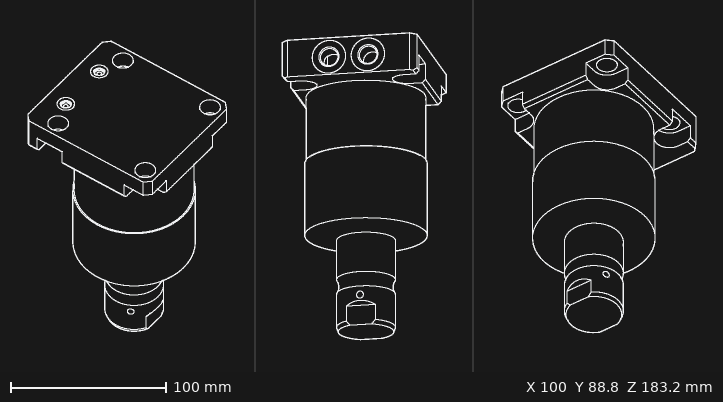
import cadquery as cq
import math

TOTAL_HEIGHT = 183.2
SEAL_PROTRUSION = 0.7
PLATE_THICKNESS = 24.7
PLATE_TOP = TOTAL_HEIGHT - SEAL_PROTRUSION
PLATE_BOTTOM = PLATE_TOP - PLATE_THICKNESS
SLEEVE_TOP = 113.4
CONE_TOP = 64.8
CONE_BOTTOM = 61.4

PLATE_LENGTH = 100.0
PLATE_WIDTH = 88.8
PLATE_LEFT = -55.5
PLATE_RIGHT = PLATE_LEFT + PLATE_LENGTH
CORNER_CHAMFER = 4.2
LOWER_EDGE_CHAMFER = 2.2

BOLT_PITCH = 70.0
BOLT_HOLE_DIAMETER = 13.4
RELIEF_DIAMETER = 20.0
RELIEF_HEIGHT = 12.5

PORT_PITCH = 25.6
PORT_BELOW_TOP = 12.8
PORT_DIAMETER = 11.5
PORT_MOUTH_DIAMETER = 13.2
PORT_DEPTH = 14.1
SPOTFACE_DIAMETER = 22.0
SPOTFACE_DEPTH = 0.2

OIL_HOLE_X = -41.4
OIL_HOLE_PITCH = 36.0
OIL_HOLE_DIAMETER = 3.0
OIL_HOLE_BELOW_PORT_AXIS = 1.3
SEAL_SEAT_DIAMETER = 11.4
SEAL_SEAT_DEPTH = 1.1
WELL_DIAMETER = 6.2
WELL_DEPTH = 2.2
SEAL_SECTION_RADIUS = 1.0
SEAL_MEAN_RADIUS = 4.5

HOUSING_RADIUS = 38.7
SLEEVE_RADIUS = 39.5
CONE_TIP_RADIUS = 26.2
ROD_RADIUS = 19.0
GROOVE_TOP = 35.0
GROOVE_BOTTOM = 25.3
GROOVE_DEPTH = 1.5
TIP_CHAMFER_HEIGHT = 3.0
TIP_CHAMFER_WIDTH = 1.1

FLAT_DISTANCE = 16.5
FLAT_HEIGHT = 13.0
DIMPLE_DIAMETER = 4.8
DIMPLE_DEPTH = 2.2
DIMPLE_HEIGHT = 19.5
DIMPLE_ANGLES = (60, 180, 300)

SIDES = (-1, 1)


def cylinder(radius, height, base, direction=(0, 0, 1)):
    """Cylinder starting at the point base and running along direction."""
    return cq.Workplane(cq.Solid.makeCylinder(radius, height, cq.Vector(*base), cq.Vector(*direction)))


def box(x_range, y_range, z_range):
    """Box between the given limits, each range given in either order."""
    x0, x1 = sorted(x_range)
    y0, y1 = sorted(y_range)
    z0, z1 = sorted(z_range)
    return cq.Workplane().box(x1 - x0, y1 - y0, z1 - z0, centered=False).translate((x0, y0, z0))


def make_plate():
    blank = box((PLATE_LEFT, PLATE_RIGHT), (-PLATE_WIDTH / 2, PLATE_WIDTH / 2), (PLATE_BOTTOM, PLATE_TOP))
    clipped_corners = blank.edges("|Z").chamfer(CORNER_CHAMFER)
    broken_edges = blank.faces("<Z").edges("|X or >X").chamfer(LOWER_EDGE_CHAMFER)
    return clipped_corners.intersect(broken_edges)


def make_bolt_cuts():
    """Through holes and round-ended reliefs; the right-hand reliefs also open to the end face."""
    cuts = cq.Workplane()
    relief_radius = RELIEF_DIAMETER / 2
    relief_top = PLATE_BOTTOM + RELIEF_HEIGHT
    relief_z = (PLATE_BOTTOM, relief_top)
    for x_side in SIDES:
        for y_side in SIDES:
            x = x_side * BOLT_PITCH / 2
            y = y_side * BOLT_PITCH / 2
            edge_y = y_side * PLATE_WIDTH / 2
            cuts = cuts.add(cylinder(BOLT_HOLE_DIAMETER / 2, PLATE_THICKNESS, (x, y, PLATE_BOTTOM)))
            cuts = cuts.add(cylinder(relief_radius, RELIEF_HEIGHT, (x, y, PLATE_BOTTOM)))
            cuts = cuts.add(box((x - relief_radius, x + relief_radius), (y, edge_y), relief_z))
            if x_side > 0:
                cuts = cuts.add(box((x, PLATE_RIGHT), (y - y_side * relief_radius, edge_y), relief_z))
    return cuts.combine()


def make_port(y):
    """Blind port bored from the left face, with a chamfered mouth and a shallow spotface."""
    mouth_chamfer = (PORT_MOUTH_DIAMETER - PORT_DIAMETER) / 2
    mouth_x = PLATE_LEFT + SPOTFACE_DEPTH
    profile = [
        (PLATE_LEFT, 0),
        (PLATE_LEFT, SPOTFACE_DIAMETER / 2),
        (mouth_x, SPOTFACE_DIAMETER / 2),
        (mouth_x, PORT_MOUTH_DIAMETER / 2),
        (mouth_x + mouth_chamfer, PORT_DIAMETER / 2),
        (PLATE_LEFT + PORT_DEPTH, PORT_DIAMETER / 2),
        (PLATE_LEFT + PORT_DEPTH, 0),
    ]
    port = cq.Workplane("XY").polyline(profile).close().revolve(360, (0, 0), (1, 0))
    return port.translate((0, y, PLATE_TOP - PORT_BELOW_TOP))


def make_oil_hole(y):
    """Stepped bore down into the port: seal seat, well and oil hole."""
    steps = [
        (SEAL_SEAT_DIAMETER, SEAL_SEAT_DEPTH),
        (WELL_DIAMETER, WELL_DEPTH),
        (OIL_HOLE_DIAMETER, PORT_BELOW_TOP + OIL_HOLE_BELOW_PORT_AXIS),
    ]
    bore = cq.Workplane()
    for diameter, depth in steps:
        bore = bore.add(cylinder(diameter / 2, depth, (OIL_HOLE_X, y, PLATE_TOP - depth)))
    return bore.combine()


def make_seal(y):
    """Seal ring pressed into its seat, standing proud of the plate."""
    centre = cq.Vector(OIL_HOLE_X, y, TOTAL_HEIGHT - SEAL_SECTION_RADIUS)
    return cq.Workplane(cq.Solid.makeTorus(SEAL_MEAN_RADIUS, SEAL_SECTION_RADIUS, centre))


def make_body():
    """Housing, sleeve and rod as one turned shape."""
    return (
        cq.Workplane("XZ")
        .moveTo(0, PLATE_BOTTOM)
        .lineTo(HOUSING_RADIUS, PLATE_BOTTOM)
        .lineTo(HOUSING_RADIUS, SLEEVE_TOP)
        .lineTo(SLEEVE_RADIUS, SLEEVE_TOP)
        .lineTo(SLEEVE_RADIUS, CONE_TOP)
        .lineTo(CONE_TIP_RADIUS, CONE_BOTTOM)
        .lineTo(ROD_RADIUS, CONE_BOTTOM)
        .lineTo(ROD_RADIUS, GROOVE_TOP)
        .threePointArc(
            (ROD_RADIUS - GROOVE_DEPTH, (GROOVE_TOP + GROOVE_BOTTOM) / 2),
            (ROD_RADIUS, GROOVE_BOTTOM),
        )
        .lineTo(ROD_RADIUS, TIP_CHAMFER_HEIGHT)
        .lineTo(ROD_RADIUS - TIP_CHAMFER_WIDTH, 0)
        .lineTo(0, 0)
        .close()
        .revolve(360, (0, 0), (0, 1))
    )


def make_flat_cut(side):
    """Cutter for one wrench flat, ending in a 45 degree run-out."""
    run_out = ROD_RADIUS - FLAT_DISTANCE
    profile = [
        (side * FLAT_DISTANCE, 0),
        (side * FLAT_DISTANCE, FLAT_HEIGHT),
        (side * ROD_RADIUS, FLAT_HEIGHT + run_out),
        (side * ROD_RADIUS, 0),
    ]
    return cq.Workplane("XZ").polyline(profile).close().extrude(ROD_RADIUS, both=True)


def make_dimple(angle):
    """Cone with its base touching the rod surface and its point toward the rod axis."""
    outward = cq.Vector(math.cos(math.radians(angle)), math.sin(math.radians(angle)), 0)
    base = outward * ROD_RADIUS + cq.Vector(0, 0, DIMPLE_HEIGHT)
    return cq.Workplane(cq.Solid.makeCone(DIMPLE_DIAMETER / 2, 0, DIMPLE_DEPTH, base, -outward))


plate = make_plate()
for side in SIDES:
    plate = plate.cut(make_port(side * PORT_PITCH / 2))
    plate = plate.cut(make_oil_hole(side * OIL_HOLE_PITCH / 2))
    plate = plate.union(make_seal(side * OIL_HOLE_PITCH / 2))

body = make_body()
for side in SIDES:
    body = body.cut(make_flat_cut(side))
for angle in DIMPLE_ANGLES:
    body = body.cut(make_dimple(angle))

result = plate.cut(make_bolt_cuts()).union(body)